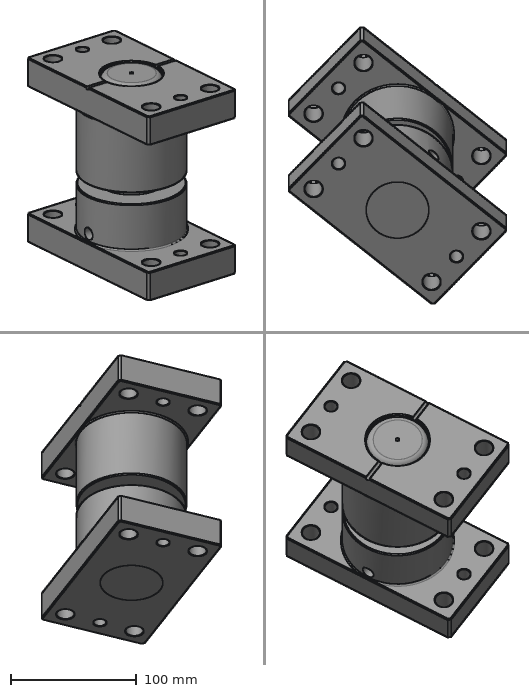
import cadquery as cq
import math

overall_height = 160.0

plate_length = 155.0
plate_width = 90.0
plate_thickness = 25.0
plate_corner_chamfer = 2.0
plate_edge_chamfer = 0.88

pin_diameter = 50.0
pin_end_radius = 5.5
pin_protrusion = 0.5
bore_chamfer = 1.0
center_hole_diameter = 3.0
center_hole_depth = 5.0
center_hole_tip_depth = 0.8

collar_diameter = 88.0
lower_collar_height = 40.0
upper_collar_height = 60.0
collar_fillet = 1.2
collar_chamfer = 1.0

bolt_hole_diameter = 14.0
bolt_spacing_x = 125.0
bolt_spacing_y = 60.0
dowel_hole_diameter = 10.0
plate_hole_chamfer = 0.5

side_hole_diameter = 10.2
side_hole_height = 32.5

groove_radius = 1.6
groove_depth = 2.2

upper_top = overall_height - pin_protrusion


def make_plate():
    """Chamfered plate with its bolt and dowel holes, standing on z = 0."""
    plate = (
        cq.Workplane("XY")
        .box(plate_length, plate_width, plate_thickness, centered=(True, True, False))
        .edges("|Z")
        .chamfer(plate_corner_chamfer)
        .faces("<Z or >Z")
        .edges()
        .chamfer(plate_edge_chamfer)
    )
    bolt_holes = (
        cq.Workplane("XY")
        .rect(bolt_spacing_x, bolt_spacing_y, forConstruction=True)
        .vertices()
        .circle(bolt_hole_diameter / 2)
        .extrude(plate_thickness)
    )
    dowel_holes = (
        cq.Workplane("XY")
        .rarray(bolt_spacing_x, 1.6, 2, 1)
        .circle(dowel_hole_diameter / 2)
        .extrude(plate_thickness)
    )
    drilled = plate.cut(bolt_holes).cut(dowel_holes)
    return drilled.faces("<Z or >Z").edges("%CIRCLE").chamfer(plate_hole_chamfer)


def make_collar(height):
    """Collar on top of the plate, with a flared foot and a chamfered free end."""
    radius = collar_diameter / 2
    foot = plate_thickness
    end = plate_thickness + height
    fillet_center = (radius + collar_fillet, foot + collar_fillet)
    fillet_offset = collar_fillet * math.sqrt(0.5)
    collar = (
        cq.Workplane("XZ")
        .moveTo(0, foot)
        .lineTo(fillet_center[0], foot)
        .threePointArc(
            (fillet_center[0] - fillet_offset, fillet_center[1] - fillet_offset),
            (radius, fillet_center[1]),
        )
        .lineTo(radius, end - collar_chamfer)
        .lineTo(radius - collar_chamfer, end)
        .lineTo(0, end)
        .close()
        .revolve(360, (0, 0, 0), (0, 1, 0))
    )
    flat_width = plate_width - 2 * plate_edge_chamfer
    limits = cq.Workplane("XY").box(plate_length, flat_width, 2 * end)
    return collar.intersect(limits)


def make_block(collar_height):
    """Plate and collar in one piece with the pin bore through both."""
    block_height = plate_thickness + collar_height
    bore = cq.Workplane("XY").circle(pin_diameter / 2).extrude(block_height)
    return make_plate().union(make_collar(collar_height)).cut(bore)


def make_lower_block():
    """Lower block with the radial hole opening on the -Y side."""
    side_hole = (
        cq.Workplane("XZ")
        .center(0, side_hole_height)
        .circle(side_hole_diameter / 2)
        .extrude(collar_diameter)
    )
    return make_block(lower_collar_height).cut(side_hole)


def make_upper_block():
    """Upper block: collar down, bore chamfered and grooved at the top face."""
    block = (
        make_block(upper_collar_height)
        .rotate((0, 0, 0), (1, 0, 0), 180)
        .translate((0, 0, upper_top))
    )
    bore_countersink = (
        cq.Workplane("XY")
        .workplane(offset=upper_top - bore_chamfer)
        .circle(pin_diameter / 2)
        .workplane(offset=bore_chamfer)
        .circle(pin_diameter / 2 + bore_chamfer)
        .loft()
    )
    arc_height = upper_top - groove_depth + groove_radius
    grooves = (
        cq.Workplane("XZ")
        .moveTo(-groove_radius, arc_height)
        .threePointArc((0, upper_top - groove_depth), (groove_radius, arc_height))
        .lineTo(groove_radius, overall_height)
        .lineTo(-groove_radius, overall_height)
        .close()
        .extrude(plate_width / 2, both=True)
    )
    return block.cut(bore_countersink).cut(grooves)


def make_center_hole():
    """Drilled shape of the centre hole, with a conical bottom."""
    hole_radius = center_hole_diameter / 2
    hole_bottom = overall_height - center_hole_depth
    return (
        cq.Workplane("XZ")
        .moveTo(0, overall_height)
        .lineTo(hole_radius, overall_height)
        .lineTo(hole_radius, hole_bottom)
        .lineTo(0, hole_bottom - center_hole_tip_depth)
        .close()
        .revolve(360, (0, 0, 0), (0, 1, 0))
    )


def make_pin():
    """Plain pin with a rounded upper end and a small centre hole in it."""
    pin = (
        cq.Workplane("XY")
        .circle(pin_diameter / 2)
        .extrude(overall_height)
        .faces(">Z")
        .edges()
        .fillet(pin_end_radius)
    )
    return pin.cut(make_center_hole())


lower_block = make_lower_block()
upper_block = make_upper_block()
pin = make_pin()

result = cq.Compound.makeCompound([lower_block.val(), upper_block.val(), pin.val()])